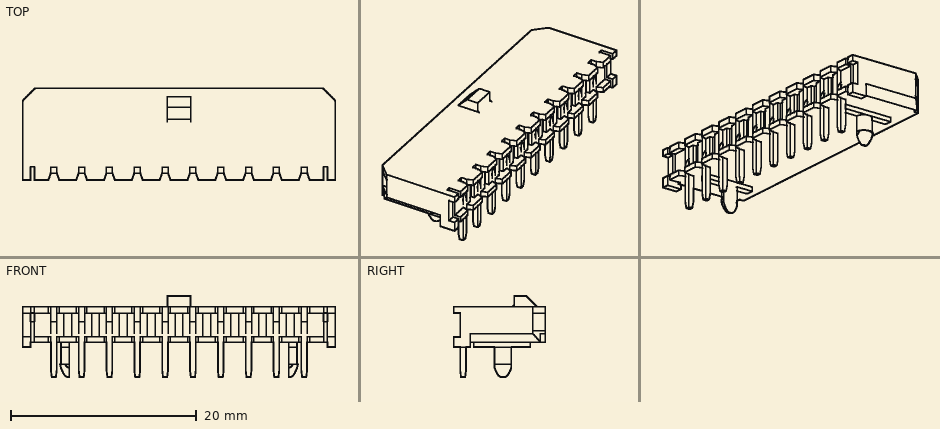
import cadquery as cq


length = 33.65
depth = 9.9
body_bottom = 0.5
body_top = 4.37
corner_cut = 1.35
half_length = length / 2

lip_reach = 0.7
lower_lip_top = 1.1
upper_lip_bottom = 3.67

ear_width = 0.85
ear_depth = 1.82
ear_slot_width = 0.4
ear_slot_depth = 1.4
channel_bottom = 2.75
side_bevel_top = 1.45
corner_notch_bottom = 1.75
lower_notch_depth = 0.55

pin_count = 10
pin_pitch = 3.0
pin_size = 0.65
pin_end = -3.23
pin_taper_height = 0.7
pin_tip_size = 0.47
pin_bend_bottom = 1.5
pin_bend_top = 2.75
mouth_width = 1.15
bay_width = 0.85
bay_depth = 0.4

rail_start = 2.15
rail_end = 8.28
peg_flat_x = 11.8
peg_y = 5.3
peg_radius = 0.9
dome_radius = 1.0
dome_top = -1.82
dome_flank = (0.87, -2.32)
dome_corner = (0.65, -2.83)
dome_nose = (0.47, -3.05)
dome_tip_radius = 0.2

latch_width = 2.52
latch_top = 5.52
latch_front = 6.53
latch_crest_end = 7.85
latch_fillet = 0.25

pin_back = lip_reach + pin_size
bay_back = lip_reach + bay_depth
ear_inner = half_length - ear_width
slot_inner = ear_inner - ear_slot_width
pin_positions = [(i - (pin_count - 1) / 2) * pin_pitch for i in range(pin_count)]


def box(x0, x1, y0, y1, z0, z1):
    """Box between opposite corner coordinates."""
    return cq.Workplane("XY").box(x1 - x0, y1 - y0, z1 - z0, centered=False).translate((x0, y0, z0))


def mirrored(shape):
    """The shape together with its mirror image across X = 0."""
    return shape.union(shape.mirror("YZ"))


def make_body():
    """Housing block with cut corners, bevelled lower sides and ear feet."""
    height = body_top - body_bottom
    outline = [
        (-half_length, 0),
        (half_length, 0),
        (half_length, depth - corner_cut),
        (half_length - corner_cut, depth),
        (corner_cut - half_length, depth),
        (-half_length, depth - corner_cut),
    ]
    body = cq.Workplane("XY").workplane(offset=body_bottom).polyline(outline).close().extrude(height)

    bevel = (
        cq.Workplane("XZ")
        .moveTo(-half_length, side_bevel_top)
        .lineTo(-half_length, body_bottom)
        .lineTo(-ear_inner, body_bottom)
        .close()
        .extrude(-(depth - ear_depth))
        .translate((0, ear_depth, 0))
    )
    body = body.cut(mirrored(bevel))
    foot = box(-half_length, -ear_inner, 0, ear_depth, 0, lower_lip_top)
    return body.union(mirrored(foot))


def make_end_cuts():
    """Ear slots, the channels running back from them and the open corners they reach."""
    slot = box(-ear_inner, -slot_inner, 0, ear_slot_depth, body_bottom, body_top)
    channel = box(-ear_inner, -slot_inner, 0, depth, channel_bottom, upper_lip_bottom)
    notch_end = corner_cut - half_length
    upper_notch = box(
        -half_length, notch_end, depth - corner_cut, depth, corner_notch_bottom, upper_lip_bottom
    )
    lower_notch = box(
        -half_length, notch_end, depth - lower_notch_depth, depth, body_bottom, side_bevel_top
    )
    return mirrored(slot.union(channel).union(upper_notch).union(lower_notch))


def make_pin_slot():
    """Pin groove that flares to a wider mouth through the lips."""
    return (
        cq.Workplane("XY")
        .workplane(offset=body_bottom)
        .moveTo(-mouth_width / 2, 0)
        .lineTo(mouth_width / 2, 0)
        .lineTo(pin_size / 2, lip_reach)
        .lineTo(pin_size / 2, pin_back)
        .lineTo(-pin_size / 2, pin_back)
        .lineTo(-pin_size / 2, lip_reach)
        .close()
        .extrude(body_top - body_bottom)
    )


def make_pin():
    """Square pin with a tapered tip and a rounded bend running into the housing."""
    bend_rise = pin_bend_top - pin_bend_bottom
    bend_radius = (bend_rise**2 + pin_size**2) / (2 * pin_size)
    mid_rise = bend_rise / 2
    mid_inset = bend_radius - (bend_radius**2 - mid_rise**2) ** 0.5
    taper_top = pin_end + pin_taper_height
    shank = (
        cq.Workplane("YZ")
        .moveTo(pin_back, taper_top)
        .lineTo(lip_reach, taper_top)
        .lineTo(lip_reach, pin_bend_bottom)
        .threePointArc((lip_reach + mid_inset, pin_bend_bottom + mid_rise), (pin_back, pin_bend_top))
        .close()
        .extrude(pin_size / 2, both=True)
    )
    tip = (
        cq.Workplane("XY", origin=(0, lip_reach + pin_size / 2, taper_top))
        .rect(pin_size, pin_size)
        .workplane(offset=-pin_taper_height)
        .rect(pin_tip_size, pin_tip_size)
        .loft()
    )
    return shank.union(tip)


def make_peg():
    """Left-hand rail carrying a half-round peg with a slightly wider domed end."""
    rail = box(-peg_radius, 0, rail_start - peg_y, rail_end - peg_y, 0, body_bottom)
    shank = cq.Workplane("XY").circle(peg_radius).extrude(dome_top)
    dome = (
        cq.Workplane("XZ")
        .moveTo(0, dome_top)
        .lineTo(dome_radius, dome_top)
        .threePointArc(dome_flank, dome_corner)
        .threePointArc(dome_nose, (dome_tip_radius, pin_end))
        .lineTo(0, pin_end)
        .close()
        .revolve(360, (0, 0), (0, 1))
    )
    peg_limits = box(-dome_radius, 0, -peg_radius, peg_radius, pin_end, 0)
    peg = shank.union(dome).intersect(peg_limits)
    return rail.union(peg).translate((-peg_flat_x, peg_y, 0))


def make_latch():
    """Latch block with a 45 degree ramp at the back and a filleted root in front."""
    ramp_end = latch_crest_end + latch_top - body_top
    arc_offset = latch_fillet * (1 - 0.5**0.5)
    return (
        cq.Workplane("YZ")
        .moveTo(latch_front - latch_fillet, body_top)
        .threePointArc(
            (latch_front - arc_offset, body_top + arc_offset),
            (latch_front, body_top + latch_fillet),
        )
        .lineTo(latch_front, latch_top)
        .lineTo(latch_crest_end, latch_top)
        .lineTo(ramp_end, body_top)
        .close()
        .extrude(latch_width / 2, both=True)
    )


result = make_body()

result = result.cut(box(-half_length, half_length, 0, lip_reach, lower_lip_top, upper_lip_bottom))
result = result.cut(make_end_cuts())

bay = box(-bay_width / 2, bay_width / 2, lip_reach, bay_back, lower_lip_top, upper_lip_bottom)
for x in pin_positions[:-1]:
    result = result.cut(bay.translate((x + pin_pitch / 2, 0, 0)))

pin_slot = make_pin_slot()
pin = make_pin()
for x in pin_positions:
    result = result.cut(pin_slot.translate((x, 0, 0)))
    result = result.union(pin.translate((x, 0, 0)))

result = result.union(mirrored(make_peg())).union(make_latch())